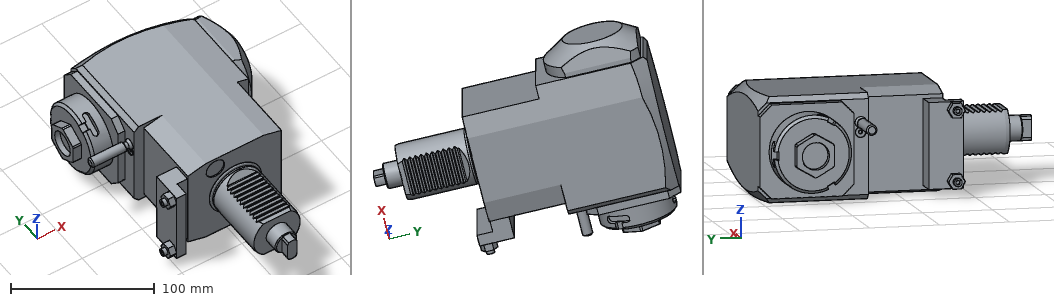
import cadquery as cq
import math


HALF_HEIGHT = 37.5
FRONT_Y = 0.0
STEP_Y = 55.0
BACK_Y = 134.0
NARROW_HALF_WIDTH = 39.1
WIDE_LEFT_X = -47.2
WIDE_RIGHT_X = 48.5
FLAT_HALF_WIDTH = 24.0
SIDE_SLOPE = 0.26
LEFT_CHAMFER = 3.7
CORNER_X = 3.0
CORNER_Y = 2.3
CROWN_CENTER_X = -9.5
CROWN_CENTER_Y = 2.0
CROWN_RADIUS = 127.7
RECESS_RADIUS = 7.6
RECESS_X = 16.0
RECESS_Z = 27.6
RECESS_DEPTH = 1.0

SPINDLE_Y = 100.0
PLATE_X = -53.0
PLATE_FRONT_Y = 66.7
PLATE_HALF_HEIGHT = 33.2
PLATE_CHAMFER = 8.2
COLLAR_X = -70.2
COLLAR_RADIUS = 27.6
COLLAR_CHAMFER = 2.0
COLLAR_SLOTS = 3
KEYWAY_WIDTH = 5.8
KEYWAY_DEPTH = 2.9
SLOT_X = -62.2
SLOT_WIDTH = 5.2
SLOT_LENGTH = 18.3
SLOT_DEPTH = 4.1
NUT_X = -77.0
NUT_FLATS = 26.8
NUT_CORNER_RADIUS = 15.0
NUT_BORE_RADIUS = 9.7
NUT_BORE_DEPTH = 4.5

PIN_TIP_X = -80.3
PIN_Y = 60.5
PIN_Z = 17.3
PIN_RADIUS = 3.7
PIN_CHAMFER = 1.0
PIN_NECK_RADIUS = 2.7
PIN_NECK_START_X = -52.3
PIN_NECK_END_X = -49.5
PIN_BALL_RADIUS = 4.1
SCREW_Z = 10.3
SCREW_RADIUS = 3.7
SCREW_DEPTH = 0.6
SCREW_SOCKET_RADIUS = 1.2
SCREW_SOCKET_DEPTH = 2.0

CAP_RADIUS = 37.7
CAP_END_RADIUS = 21.5
CAP_CONE_X = 56.0
CAP_END_X = 67.0
CAP_BACK_Y = 130.0
CAP_HALF_HEIGHT = 29.5
CAP_LEVEL_END_X = 51.5

BRACKET_X = -55.8
BRACKET_LEG_X = -47.8
BRACKET_FOOT_Y = 0.5
BRACKET_BACK_Y = 14.0
BRACKET_TIP_Y = -11.0
BRACKET_HALF_HEIGHT = 30.7
STUD_Y = -5.0
STUD_Z = 25.1
STUD_RADIUS = 2.9
STUD_TIP_X = -64.0
STUD_NUT_X = -61.0
STUD_NUT_FLATS = 10.3
STUD_SOCKET_FLATS = 2.9
STUD_SOCKET_DEPTH = 1.6

SHANK_RADIUS = 20.0
SHANK_END_RADIUS = 19.4
SHANK_TAPER_Y = -50.0
SHANK_END_Y = -53.0
FLANGE_RADIUS = 21.6
FLANGE_Y = -2.0
FLANGE_ROUND = 0.8
RELIEF_Y = -3.5
RELIEF_DEPTH = 0.2
SHANK_FLAT = 15.7
RAMP_END_Y = -9.0
TOOTH_COUNT = 10
FIRST_GROOVE_Y = -11.7
LAST_GROOVE_Y = -47.8
TOOTH_PITCH = (FIRST_GROOVE_Y - LAST_GROOVE_Y) / (TOOTH_COUNT - 1)
GROOVE_DEPTH = 1.2
GROOVE_HALF_TOP = 1.6
GROOVE_HALF_FLOOR = 0.2

DRIVE_RADIUS = 9.0
DRIVE_SHOULDER_Y = -64.7
DRIVE_CHAMFER = 0.8
DRIVE_END_Y = -72.0
TANG_HALF_WIDTH = 4.0
TANG_FACE_HALF = 6.4
TANG_EDGE_X = 3.0


def block(x, y, z):
    """Axis-aligned box between the (low, high) pairs x, y and z."""
    size = (x[1] - x[0], y[1] - y[0], z[1] - z[0])
    return cq.Workplane("XY").box(*size, centered=False).translate((x[0], y[0], z[0]))


def prism_x(sketch_plane, start, end):
    """Extrude an outline pending on a YZ workplane from X = start to X = end."""
    return sketch_plane.extrude(end - start).translate((start, 0, 0))


def cylinder_x(start, end, y, z, radius):
    return prism_x(cq.Workplane("YZ").center(y, z).circle(radius), start, end)


def cylinder_y(start, end, x, z, radius):
    section = cq.Workplane("XZ", origin=(x, start, z)).circle(radius)
    return section.extrude(start - end)


def hexagon_x(start, end, y, z, flats, turn):
    """Hexagonal bar along X; at turn 0 its corners point along Y."""
    corner_circle = flats / math.cos(math.pi / 6)
    bar = prism_x(cq.Workplane("YZ").polygon(6, corner_circle), start, end)
    return bar.rotate((0, 0, 0), (1, 0, 0), turn).translate((0, y, z))


def revolve_x(points, y, z):
    """Revolve (x, radius) points about the line along X through (y, z)."""
    solid = cq.Workplane("XY").polyline(points).close().revolve(360, (0, 0), (1, 0))
    return solid.translate((0, y, z))


def mirrored_profile(upper):
    """Points of an XZ outline from its upper half, mirrored about Z = 0."""
    return upper + [(x, -z) for x, z in reversed(upper)]


def extrude_y(points, start, end):
    """Extrude an XZ outline from Y = start to Y = end."""
    return cq.Workplane("XZ", origin=(0, start, 0)).polyline(points).close().extrude(start - end)


def sloped_height(x):
    return HALF_HEIGHT - SIDE_SLOPE * (abs(x) - FLAT_HALF_WIDTH)


def housing():
    narrow_upper = [
        (-NARROW_HALF_WIDTH, sloped_height(NARROW_HALF_WIDTH)),
        (-FLAT_HALF_WIDTH, HALF_HEIGHT),
        (FLAT_HALF_WIDTH, HALF_HEIGHT),
        (NARROW_HALF_WIDTH, sloped_height(NARROW_HALF_WIDTH)),
    ]
    wide_upper = [
        (WIDE_LEFT_X, HALF_HEIGHT - LEFT_CHAMFER),
        (WIDE_LEFT_X + LEFT_CHAMFER, HALF_HEIGHT),
        (FLAT_HALF_WIDTH, HALF_HEIGHT),
        (WIDE_RIGHT_X, sloped_height(WIDE_RIGHT_X)),
    ]
    narrow = extrude_y(mirrored_profile(narrow_upper), FRONT_Y, STEP_Y)
    wide = extrude_y(mirrored_profile(wide_upper), STEP_Y, BACK_Y)

    corner = (
        cq.Workplane("XY", origin=(0, 0, -HALF_HEIGHT))
        .moveTo(WIDE_RIGHT_X, BACK_Y)
        .lineTo(WIDE_RIGHT_X - CORNER_X, BACK_Y)
        .lineTo(WIDE_RIGHT_X, BACK_Y - CORNER_Y)
        .close()
        .extrude(2 * HALF_HEIGHT)
    )

    crown = (
        cq.Workplane("XZ")
        .moveTo(0, -HALF_HEIGHT)
        .lineTo(CROWN_RADIUS, -HALF_HEIGHT)
        .lineTo(CROWN_RADIUS + HALF_HEIGHT, 0)
        .lineTo(CROWN_RADIUS, HALF_HEIGHT)
        .lineTo(0, HALF_HEIGHT)
        .close()
        .revolve(360, (0, 0), (0, 1))
        .translate((CROWN_CENTER_X, CROWN_CENTER_Y, 0))
    )
    body = narrow.union(wide.cut(corner).intersect(crown))

    for side in (-1, 1):
        recess = cylinder_y(FRONT_Y, RECESS_DEPTH, side * RECESS_X, -side * RECESS_Z, RECESS_RADIUS)
        body = body.cut(recess)
    return body


def nose_plate():
    plate = block(
        (PLATE_X, WIDE_LEFT_X),
        (PLATE_FRONT_Y, BACK_Y),
        (-PLATE_HALF_HEIGHT, PLATE_HALF_HEIGHT),
    )
    return plate.edges("|X").chamfer(PLATE_CHAMFER)


def collar():
    ring = cylinder_x(COLLAR_X, PLATE_X, SPINDLE_Y, 0, COLLAR_RADIUS)
    ring = ring.faces("<X").chamfer(COLLAR_CHAMFER)

    slot_floor = COLLAR_RADIUS - SLOT_DEPTH
    keyway_floor = COLLAR_RADIUS - KEYWAY_DEPTH
    cutter_height = 2 * SLOT_DEPTH
    cross_slot = (
        cq.Workplane("XY", origin=(SLOT_X, 0, slot_floor))
        .slot2D(SLOT_LENGTH, SLOT_WIDTH, 90)
        .extrude(cutter_height)
    )
    keyway = block(
        (COLLAR_X, SLOT_X),
        (-KEYWAY_WIDTH / 2, KEYWAY_WIDTH / 2),
        (keyway_floor, keyway_floor + cutter_height),
    )
    cutout = cross_slot.union(keyway)
    for i in range(COLLAR_SLOTS):
        turn = -90 + i * 360 / COLLAR_SLOTS
        turned = cutout.rotate((0, 0, 0), (1, 0, 0), turn)
        ring = ring.cut(turned.translate((0, SPINDLE_Y, 0)))
    return ring


def spindle_nut():
    nut = hexagon_x(NUT_X, COLLAR_X, SPINDLE_Y, 0, NUT_FLATS, 90)
    bore = cylinder_x(NUT_X, NUT_X + NUT_BORE_DEPTH, SPINDLE_Y, 0, NUT_BORE_RADIUS)
    corners = cylinder_x(NUT_X, COLLAR_X, SPINDLE_Y, 0, NUT_CORNER_RADIUS)
    return nut.intersect(corners).cut(bore)


def screw_recess():
    head = cylinder_x(WIDE_LEFT_X, WIDE_LEFT_X + SCREW_DEPTH, PIN_Y, SCREW_Z, SCREW_RADIUS)
    socket = cylinder_x(
        WIDE_LEFT_X, WIDE_LEFT_X + SCREW_SOCKET_DEPTH, PIN_Y, SCREW_Z, SCREW_SOCKET_RADIUS
    )
    return head.union(socket)


def locating_pin():
    rod = cylinder_x(PIN_TIP_X, PIN_NECK_START_X, PIN_Y, PIN_Z, PIN_RADIUS)
    rod = rod.faces("<X").chamfer(PIN_CHAMFER)
    neck = cylinder_x(PIN_NECK_START_X, WIDE_LEFT_X, PIN_Y, PIN_Z, PIN_NECK_RADIUS)
    ball_offset = math.sqrt(PIN_BALL_RADIUS**2 - PIN_NECK_RADIUS**2)
    ball = cq.Workplane("XY").sphere(PIN_BALL_RADIUS)
    ball = ball.translate((PIN_NECK_END_X + ball_offset, PIN_Y, PIN_Z))
    return rod.union(neck).union(ball)


def rear_cap():
    cap = revolve_x(
        [
            (WIDE_RIGHT_X, 0),
            (WIDE_RIGHT_X, CAP_RADIUS),
            (CAP_CONE_X, CAP_RADIUS),
            (CAP_END_X, CAP_END_RADIUS),
            (CAP_END_X, 0),
        ],
        SPINDLE_Y,
        0,
    )
    end_height = CAP_HALF_HEIGHT - SIDE_SLOPE * (CAP_END_X - CAP_LEVEL_END_X)
    upper = [
        (WIDE_RIGHT_X, CAP_HALF_HEIGHT),
        (CAP_LEVEL_END_X, CAP_HALF_HEIGHT),
        (CAP_END_X, end_height),
    ]
    envelope = extrude_y(mirrored_profile(upper), SPINDLE_Y - CAP_RADIUS, CAP_BACK_Y)
    return cap.intersect(envelope)


def bracket():
    height = (-BRACKET_HALF_HEIGHT, BRACKET_HALF_HEIGHT)
    foot = block((BRACKET_X, -NARROW_HALF_WIDTH), (BRACKET_FOOT_Y, BRACKET_BACK_Y), height)
    leg = block((BRACKET_X, BRACKET_LEG_X), (BRACKET_TIP_Y, BRACKET_BACK_Y), height)
    solid = foot.union(leg)
    for z in (-STUD_Z, STUD_Z):
        nut = hexagon_x(STUD_NUT_X, BRACKET_X, STUD_Y, z, STUD_NUT_FLATS, 0)
        stud = cylinder_x(STUD_TIP_X, STUD_NUT_X, STUD_Y, z, STUD_RADIUS)
        socket_end = STUD_TIP_X + STUD_SOCKET_DEPTH
        socket = hexagon_x(STUD_TIP_X, socket_end, STUD_Y, z, STUD_SOCKET_FLATS, 90)
        solid = solid.union(nut).union(stud.cut(socket))
    return solid


def toothed_flat_cutter():
    """Everything above the upper toothed flat, including the tooth grooves."""
    clear = FLANGE_RADIUS
    outline = [
        (SHANK_END_Y, clear),
        (SHANK_END_Y, SHANK_FLAT),
    ]
    valley = SHANK_FLAT - GROOVE_DEPTH
    for i in reversed(range(TOOTH_COUNT)):
        y = FIRST_GROOVE_Y - i * TOOTH_PITCH
        outline += [
            (y - GROOVE_HALF_TOP, SHANK_FLAT),
            (y - GROOVE_HALF_FLOOR, valley),
            (y + GROOVE_HALF_FLOOR, valley),
            (y + GROOVE_HALF_TOP, SHANK_FLAT),
        ]
    outline += [
        (RAMP_END_Y, SHANK_FLAT),
        (RAMP_END_Y + clear - SHANK_FLAT, clear),
    ]
    cutter = cq.Workplane("YZ").polyline(outline).close()
    return cutter.extrude(SHANK_RADIUS, both=True)


def shank():
    relief_radius = SHANK_RADIUS - RELIEF_DEPTH
    solid = (
        cq.Workplane("XY")
        .polyline(
            [
                (0, FLANGE_Y),
                (relief_radius, FLANGE_Y),
                (relief_radius, RELIEF_Y),
                (SHANK_RADIUS, RELIEF_Y),
                (SHANK_RADIUS, SHANK_TAPER_Y),
                (SHANK_END_RADIUS, SHANK_END_Y),
                (0, SHANK_END_Y),
            ]
        )
        .close()
        .revolve(360, (0, 0), (0, 1))
    )
    cutter = toothed_flat_cutter()
    solid = solid.cut(cutter).cut(cutter.mirror("XY"))
    flange = cylinder_y(FLANGE_Y, FRONT_Y, 0, 0, FLANGE_RADIUS)
    return solid.union(flange.edges().fillet(FLANGE_ROUND))


def drive_tang():
    rod = cylinder_y(DRIVE_END_Y, SHANK_END_Y, 0, 0, DRIVE_RADIUS)
    journal = cylinder_y(DRIVE_SHOULDER_Y, SHANK_END_Y, 0, 0, DRIVE_RADIUS)
    journal = journal.faces("<Y").chamfer(DRIVE_CHAMFER)

    edge_z = math.sqrt(DRIVE_RADIUS**2 - TANG_EDGE_X**2)
    tang_upper = [
        (-TANG_HALF_WIDTH, TANG_FACE_HALF),
        (-TANG_EDGE_X, edge_z),
        (-TANG_EDGE_X, DRIVE_RADIUS),
        (TANG_EDGE_X, DRIVE_RADIUS),
        (TANG_EDGE_X, edge_z),
        (TANG_HALF_WIDTH, TANG_FACE_HALF),
    ]
    tang = extrude_y(mirrored_profile(tang_upper), DRIVE_END_Y, DRIVE_SHOULDER_Y)
    return journal.union(rod.intersect(tang))


result = (
    housing()
    .cut(screw_recess())
    .union(nose_plate())
    .union(collar())
    .union(spindle_nut())
    .union(locating_pin())
    .union(rear_cap())
    .union(bracket())
    .union(shank())
    .union(drive_tang())
)